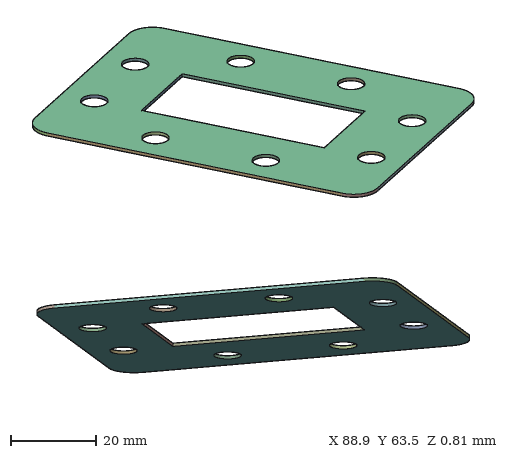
import cadquery as cq

length = 88.9
width = 63.5
thickness = 0.81
corner_radius = 6.2

window_length = 47.4
window_width = 22.1

hole_diameter = 6.4
edge_inset = 8.5
long_edge_spacing = 28.6
short_edge_spacing = 22.2

row_spacing = width - 2 * edge_inset
column_spacing = length - 2 * edge_inset


def drill_rectangle(plate, x_spacing, y_spacing):
    """Drill four through holes at the corners of a centred rectangle."""
    return (
        plate.faces(">Z")
        .workplane(origin=(0, 0, 0))
        .rect(x_spacing, y_spacing, forConstruction=True)
        .vertices()
        .hole(hole_diameter)
    )


plate = (
    cq.Workplane("XY")
    .rect(length, width)
    .extrude(thickness)
    .edges("|Z")
    .fillet(corner_radius)
)
plate = plate.faces(">Z").workplane(origin=(0, 0, 0)).rect(window_length, window_width).cutThruAll()
plate = drill_rectangle(plate, long_edge_spacing, row_spacing)
result = drill_rectangle(plate, column_spacing, short_edge_spacing)